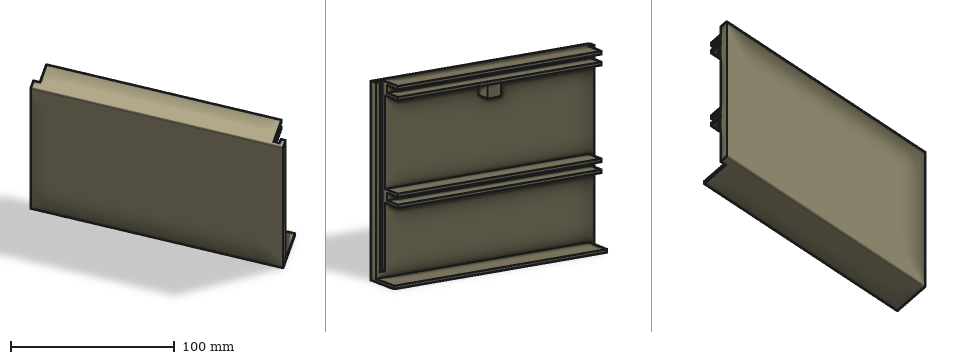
import cadquery as cq

length = 160.5
height = 126.0
depth = 26.0
panel_thickness = 6.0
edge_radius = 0.6
wall = 2.1

left_inset = 4.2
channel_right_inset = 6.7
channel_gap = 4.8
channel_depth = 14.0
channel_pitch = 68.0

block_size = 10.0

groove_width = 3.7
groove_depth = 3.0

panel_back = panel_thickness
groove_floor = panel_thickness
channel_height = channel_gap + 2 * wall
channel_length = length - left_inset - channel_right_inset
channel_right = length - channel_right_inset
top_channel_base = height - channel_height
channel_bases = [top_channel_base, top_channel_base - channel_pitch]


def box(x, y, z, size_x, size_y, size_z):
    """Box with its lowest corner at (x, y, z)."""
    return cq.Workplane("XY").box(size_x, size_y, size_z, centered=False).translate((x, y, z))


def make_panel():
    """Front panel with rounded long edges on its face."""
    panel = box(0, 0, 0, length, panel_thickness, height)
    return panel.faces("<Y").edges("|X").fillet(edge_radius)


def make_flange():
    """Bottom flange reaching the full depth of the part."""
    return box(left_inset, panel_back, 0, length - left_inset, depth - panel_back, wall)


def make_channel(base):
    """U-shaped channel open to the back, with its lower lip starting at height base."""
    outer = box(left_inset, panel_back, base, channel_length, channel_depth, channel_height)
    slot = box(left_inset, panel_back + wall, base + wall, channel_length, channel_depth, channel_gap)
    return outer.cut(slot)


def make_block():
    """Block hanging under the top channel at mid-length."""
    block_left = (length - block_size) / 2
    return box(block_left, panel_back, top_channel_base - block_size, block_size, block_size, block_size)


def make_groove():
    """Groove in the panel back, from its closed lower end up through the top edge."""
    groove_height = height - groove_floor
    groove_front = panel_back - groove_depth
    return box(channel_right, groove_front, groove_floor, groove_width, groove_depth, groove_height)


result = make_panel().cut(make_groove()).union(make_flange()).union(make_block())
for channel_base in channel_bases:
    result = result.union(make_channel(channel_base))